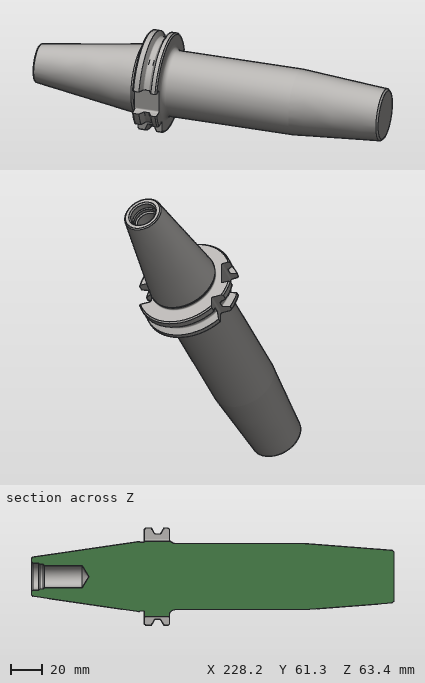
import cadquery as cq
import math

total_length = 228.2
gauge_position = 67.5
flange_start = 71.0
flange_width = 16.0
flange_end = flange_start + flange_width
nose_start = 171.0

gauge_radius = 22.1
taper_half_slope = 7 / 48
tail_radius = gauge_radius - gauge_position * taper_half_slope
relief_radius = 21.7
flange_radius = 31.7
groove_radius = 28.0
shank_radius = 21.0
nose_radius = 16.7

tail_chamfer = 0.7
nose_chamfer = 1.1
flange_chamfer = 1.0
relief_slope_length = 1.4
shank_fillet = 3.5
relief_fillet = 0.7
groove_fillet = 0.7

groove_center = flange_start + 8.5
groove_floor_width = 3.7
groove_wall_run = (flange_radius - groove_radius) * math.tan(math.radians(30))

slot_width = 16.0
slot_floor_plus_y = 22.4
slot_floor_minus_y = 25.0
notch_y = 18.3
notch_z = 18.0
corner_fillet = 1.1

bore_mouth_radius = 9.4
counterbore_radius = 8.5
counterbore_depth = 4.5
thread_relief_radius = 7.8
thread_relief_depth = 7.3
bore_radius = 6.8
bore_depth = 32.0
counterbore_step_run = counterbore_radius - thread_relief_radius
bore_step_run = thread_relief_radius - bore_radius
mouth_chamfer = bore_mouth_radius - counterbore_radius
drill_tip_length = bore_radius / math.tan(math.radians(59))


def make_body():
    """Revolve the taper, grooved flange and shank about the X axis."""
    groove_half_opening = groove_floor_width / 2 + groove_wall_run
    groove_start = groove_center - groove_half_opening
    groove_end = groove_center + groove_half_opening
    arc_mid_factor = 1 - math.sqrt(0.5)
    shank_arc_mid = shank_fillet * arc_mid_factor
    relief_arc_mid = relief_fillet * arc_mid_factor
    body = (
        cq.Workplane("XY")
        .moveTo(0, 0)
        .lineTo(0, tail_radius - tail_chamfer)
        .lineTo(tail_chamfer, tail_radius + tail_chamfer * taper_half_slope)
        .lineTo(gauge_position, gauge_radius)
        .lineTo(gauge_position + relief_slope_length, relief_radius)
        .lineTo(flange_start - relief_fillet, relief_radius)
        .threePointArc(
            (flange_start - relief_arc_mid, relief_radius + relief_arc_mid),
            (flange_start, relief_radius + relief_fillet),
        )
        .lineTo(flange_start, flange_radius - flange_chamfer)
        .lineTo(flange_start + flange_chamfer, flange_radius)
        .lineTo(groove_start, flange_radius)
        .lineTo(groove_start + groove_wall_run, groove_radius)
        .lineTo(groove_end - groove_wall_run, groove_radius)
        .lineTo(groove_end, flange_radius)
        .lineTo(flange_end - flange_chamfer, flange_radius)
        .lineTo(flange_end, flange_radius - flange_chamfer)
        .lineTo(flange_end, shank_radius + shank_fillet)
        .threePointArc(
            (flange_end + shank_arc_mid, shank_radius + shank_arc_mid),
            (flange_end + shank_fillet, shank_radius),
        )
        .lineTo(nose_start, shank_radius)
        .lineTo(total_length - nose_chamfer, nose_radius)
        .lineTo(total_length, nose_radius - nose_chamfer)
        .lineTo(total_length, 0)
        .close()
        .revolve(360, (0, 0, 0), (1, 0, 0))
    )
    groove_floor_edges = cq.selectors.BoxSelector(
        (groove_center - groove_floor_width / 2 - groove_fillet, -groove_radius, -groove_radius),
        (groove_center + groove_floor_width / 2 + groove_fillet, groove_radius, groove_radius),
    )
    return body.edges(groove_floor_edges).fillet(groove_fillet)


def make_bore():
    """Revolve the countersunk, stepped bore with its conical bottom."""
    return (
        cq.Workplane("XY")
        .moveTo(0, 0)
        .lineTo(0, bore_mouth_radius)
        .lineTo(mouth_chamfer, counterbore_radius)
        .lineTo(counterbore_depth, counterbore_radius)
        .lineTo(counterbore_depth + counterbore_step_run, thread_relief_radius)
        .lineTo(thread_relief_depth, thread_relief_radius)
        .lineTo(thread_relief_depth + bore_step_run, bore_radius)
        .lineTo(bore_depth, bore_radius)
        .lineTo(bore_depth + drill_tip_length, 0)
        .close()
        .revolve(360, (0, 0, 0), (1, 0, 0))
    )


def make_drive_slot(side, floor):
    """Slot cutter across the flange and shank fillet; side is +1 or -1 along Y."""
    cutter = cq.Workplane("XY").box(
        flange_width + shank_fillet, flange_radius, slot_width, centered=(False, False, True)
    )
    cutter = cutter.edges("|X and <Y").fillet(corner_fillet)
    cutter = cutter.translate((flange_start, floor, 0))
    return cutter if side > 0 else cutter.mirror("XZ")


def make_notch():
    """Corner cutter for the orientation notch at -Y, -Z."""
    cutter = cq.Workplane("XY").box(
        flange_width, flange_radius, flange_radius, centered=False
    )
    cutter = cutter.edges("|X and <Y and <Z").fillet(corner_fillet)
    cutter = cutter.translate((flange_start, notch_y, notch_z))
    return cutter.mirror("XZ").mirror("XY")


result = (
    make_body()
    .cut(make_bore())
    .cut(make_drive_slot(1, slot_floor_plus_y))
    .cut(make_drive_slot(-1, slot_floor_minus_y))
    .cut(make_notch())
)